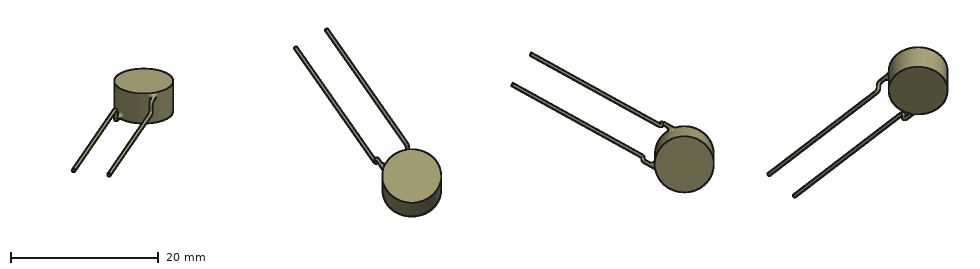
import cadquery as cq

overall_length = 29.5
disc_diameter = 8.0
disc_thickness = 4.5
disc_radius = disc_diameter / 2

lead_diameter = 0.5
lead_spacing = 5.0
lead_exit_height = 1.75
riser_gap = 1.03
bend_radius = 0.5
joint_fillet = 0.5

riser_y = -disc_radius - riser_gap
tip_y = disc_radius - overall_length


def make_lead():
    """Right-hand lead: leaves near the top, drops to the mid-plane, runs to the tip."""
    lead_x = lead_spacing / 2
    path = (
        cq.Workplane("YZ", origin=(lead_x, 0, 0))
        .moveTo(0, lead_exit_height)
        .lineTo(riser_y + bend_radius, lead_exit_height)
        .radiusArc((riser_y, lead_exit_height - bend_radius), -bend_radius)
        .lineTo(riser_y, bend_radius)
        .radiusArc((riser_y - bend_radius, 0), bend_radius)
        .lineTo(tip_y, 0)
    )
    section = cq.Workplane("XZ", origin=(lead_x, 0, lead_exit_height))
    return section.circle(lead_diameter / 2).sweep(path)


def make_disc(thickness):
    return cq.Workplane("XY").circle(disc_radius).extrude(thickness / 2, both=True)


right_lead = make_lead()
left_lead = right_lead.rotate((0, 0, 0), (0, 1, 0), 180)

tall_disc = make_disc(2 * disc_thickness)
blended = tall_disc.union(right_lead).union(left_lead)
joint_zone = cq.selectors.BoxSelector(
    (-disc_radius, -disc_radius, -disc_thickness / 2),
    (disc_radius, -disc_radius / 2, disc_thickness / 2),
)
joint_edges = blended.edges(joint_zone).edges("not (%LINE or %CIRCLE)")
blended = joint_edges.fillet(joint_fillet)

trim_slab = cq.Workplane("XY").box(3 * overall_length, 3 * overall_length, disc_thickness)
result = blended.intersect(trim_slab)